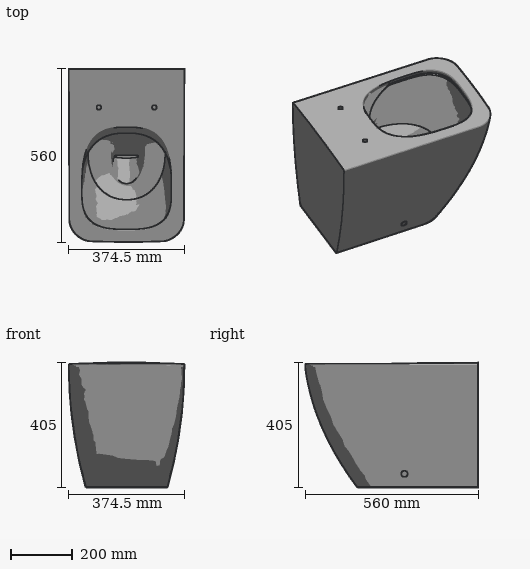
import cadquery as cq
import math


width = 374.5
length = 560.0
height = 405.0

shoulder_z = 390.5
side_tuck = 55.0
front_tuck = 169.0
front_lean = 0.28
front_taper = 1.5
front_bow = 2.0
corner_start_top = 487.0
corner_start_floor = 313.5
front_flat_top = 114.0
front_flat_floor = 81.0
body_levels = 6
quarter_handle = 4 / 3 * (math.sqrt(2) - 1)
foot_bevel = 3.0

rim_side_z = 400.0
front_crown = 0.5
rim_round = 5.0

opening_top = (431.0, 145.0, -392.0, -182.5, -518.5, 3.0, 3.0)
opening_lip = (386.5, 145.0, -392.0, -191.0, -518.5, 2.9, 3.0)
apron_foot = (313.5, 131.5, -369.5, -210.5, -459.0, 2.4, 3.0)
channel_top = (386.5, 155.5, -392.0, -190.5, -530.0, 3.0, 3.0)
channel_floor = (375.0, 155.5, -392.0, -190.5, -530.0, 3.0, 3.0)
basin_top = (375.0, 150.0, -381.0, -182.5, -522.0, 3.0, 3.0)
basin_upper = (353.0, 148.0, -369.5, -182.5, -513.0, 3.0, 2.9)
basin_lower = (302.5, 140.0, -336.0, -188.0, -484.5, 2.7, 2.6)
basin_floor = (232.5, 125.0, -269.0, -206.0, -423.0, 2.4, 2.2)
sump_shelf = (221.0, 97.5, -266.0, -211.5, -396.5, 2.4, 2.2)
sump_brink = (201.5, 63.0, -269.0, -217.0, -376.5, 3.0, 2.2)
well_top = (185.0, 50.5, -274.5, -225.0, -371.0, 4.0, 2.2)
well_floor = (112.0, 38.0, -283.0, -279.0, -288.5, 4.0, 2.2)
outline_points = 32
opening_round = 4.0

apron_edge_back_z = 222.5
apron_edge_slope = 0.5

seat_hole_diameter = 15.0
seat_hole_depth = 56.0
seat_hole_x = 89.5
seat_hole_y = -124.5
cap_diameter = 21.0
cap_y = -238.5
cap_z = 44.0
cap_recess_depth = 1.0

margin = 28.0


def mix(start, end, share):
    return start + (end - start) * share


def body_section(z, inset=0.0):
    """Plan outline of the outer body at height z, moved in by inset at the sides and front."""
    drop = 1 - z / shoulder_z
    back_x = width / 2 - side_tuck * drop**2 - inset
    side_x = back_x - front_taper
    front_y = -length + front_tuck * mix(drop**2, drop, front_lean) + inset
    corner_y = -mix(corner_start_top, corner_start_floor, drop)
    flat_x = mix(front_flat_top, front_flat_floor, drop**2)
    flat_y = front_y + front_bow
    handle_y = mix(corner_y, flat_y, quarter_handle)
    handle_x = mix(flat_x, side_x, 1 - quarter_handle)
    return (
        cq.Workplane("XY", origin=(0, 0, z))
        .moveTo(-back_x, 0)
        .lineTo(back_x, 0)
        .lineTo(side_x, corner_y)
        .bezier([(side_x, corner_y), (side_x, handle_y), (handle_x, flat_y), (flat_x, flat_y)])
        .threePointArc((0, front_y), (-flat_x, flat_y))
        .bezier([(-flat_x, flat_y), (-handle_x, flat_y), (-side_x, handle_y), (-side_x, corner_y)])
        .close()
        .val()
    )


def crown_section(y, crown_z):
    """Upright section below the top surface, with its arc rising to crown_z at x = 0."""
    half = width / 2
    return (
        cq.Workplane("XZ", origin=(0, y, 0))
        .moveTo(half, rim_side_z)
        .lineTo(half, -margin)
        .lineTo(-half, -margin)
        .lineTo(-half, rim_side_z)
        .threePointArc((0, crown_z), (half, rim_side_z))
        .close()
        .val()
    )


def outer_body():
    levels = [mix(foot_bevel, shoulder_z, i / (body_levels - 1)) for i in range(body_levels)]
    foot = cq.Solid.makeLoft([body_section(0, foot_bevel), body_section(foot_bevel)], True)
    lower = cq.Solid.makeLoft([body_section(z) for z in levels])
    upper = cq.Workplane(body_section(shoulder_z)).toPending().extrude(margin)
    crown = cq.Solid.makeLoft(
        [crown_section(0, height), crown_section(-length, rim_side_z + front_crown)], True
    )
    body = cq.Workplane(lower).union(cq.Workplane(foot)).union(upper).intersect(cq.Workplane(crown))
    not_back = cq.selectors.BoxSelector(
        (-width, -length - margin, -margin), (width, -margin, height + margin)
    )
    return body.faces(">Z").edges(not_back).fillet(rim_round)


def bowl_section(z, half_width, widest_y, rear_y, front_y, rear_power, front_power):
    """Closed outline of two half superellipses that meet at the widest place."""
    points = []
    for i in range(outline_points):
        angle = 2 * math.pi * i / outline_points
        if math.sin(angle) >= 0:
            power, reach = rear_power, rear_y - widest_y
        else:
            power, reach = front_power, widest_y - front_y
        cosine, sine = math.cos(angle), math.sin(angle)
        radius = (abs(cosine) ** power + abs(sine) ** power) ** (-1 / power)
        points.append(cq.Vector(half_width * radius * cosine, widest_y + reach * radius * sine, z))
    return cq.Wire.assembleEdges([cq.Edge.makeSpline(points, periodic=True)])


def loft_outlines(*outlines, ruled=False):
    return cq.Workplane(cq.Solid.makeLoft([bowl_section(*outline) for outline in outlines], ruled))


def throat():
    """Opening with an upright lip, and the inner face of the apron below its rear."""
    return loft_outlines(opening_top, opening_lip, apron_foot, ruled=True)


def bowl():
    """Basin, sump and well, with a flushing channel undercut below the lip."""
    channel = loft_outlines(channel_top, channel_floor, ruled=True)
    basin = loft_outlines(basin_top, basin_upper, basin_lower, basin_floor)
    sump = loft_outlines(basin_floor, sump_shelf, sump_brink, well_top)
    well = loft_outlines(well_top, well_floor, ruled=True)
    apron = (
        cq.Workplane("YZ", origin=(-width, 0, 0))
        .moveTo(0, apron_edge_back_z)
        .lineTo(0, height)
        .lineTo((apron_edge_back_z - height) / apron_edge_slope, height)
        .close()
        .extrude(2 * width)
    )
    return channel.union(basin).cut(apron).union(sump).union(well)


def round_opening(pan):
    """Round the upper edge of the opening."""
    ring = cq.selectors.BoxSelector(
        (-opening_round, -length + margin, rim_side_z - opening_round),
        (opening_top[1] + opening_round, -margin, height),
    )
    return pan.edges(ring).fillet(opening_round)


def seat_hole(side):
    return (
        cq.Workplane("XY", origin=(side * seat_hole_x, seat_hole_y, height - seat_hole_depth))
        .circle(seat_hole_diameter / 2)
        .extrude(seat_hole_depth + margin)
    )


def cap_recess(side):
    """Shallow round recess, square to the side face."""
    drop = 1 - cap_z / shoulder_z
    taper = front_taper * -cap_y / mix(corner_start_top, corner_start_floor, drop)
    face_x = width / 2 - side_tuck * drop**2 - taper
    face_slope = 2 * side_tuck * drop / shoulder_z
    face = cq.Plane(
        origin=(side * face_x, cap_y, cap_z), xDir=(0, 1, 0), normal=(side, 0, -face_slope)
    )
    return (
        cq.Workplane(face)
        .workplane(offset=-cap_recess_depth)
        .circle(cap_diameter / 2)
        .extrude(margin)
    )


result = round_opening(outer_body().cut(throat()))
result = result.cut(bowl())
for side in (-1, 1):
    result = result.cut(seat_hole(side)).cut(cap_recess(side))